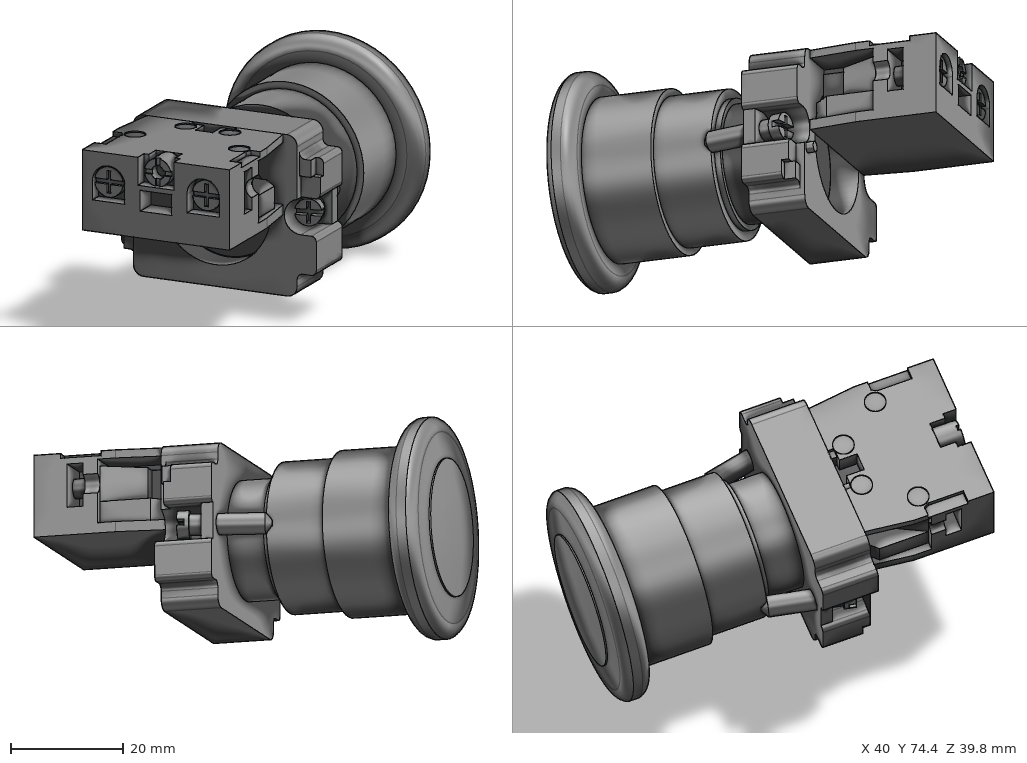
import cadquery as cq
import math


LENGTH = 74.35
BASE_FRONT = 24.4
BASE_BACK = 35.0
NECK_END = 29.75
FLANGE_FRONT = 42.15
COLLAR_FRONT = 43.3
SKIRT_FRONT = 54.2
RIM_FRONT = 67.4
RIM_BAND_FRONT = 69.6
RIM_BAND_BACK = 71.4
DOME_FRONT = 72.9
CAP_LEDGE = 73.4
CAP_FRONT = 73.7

RIM_DIAMETER = 39.8
RIM_FLAT_RADIUS = 17.2
SHOULDER_INSET = 0.8
SHOULDER_RISE = 1.05
CAP_RADIUS = 12.4
SKIRT_RADIUS = 15.0
COLLAR_RADIUS = 13.7
FLANGE_RADIUS = 11.9
NECK_RADIUS = 10.85
BORE_RADIUS = 11.0

BASE_HALF_WIDTH = 16.2
BASE_HALF_HEIGHT = 15.0
BASE_CORNER_RADIUS = 2.0
EAR_TIP_X = 20.0
EAR_HALF_HEIGHT = 10.55
EAR_CORNER_RADIUS = 1.0
EAR_ROOT_RADIUS = 1.2
NOTCH_RADIUS = 3.3
NOTCH_CENTER_X = 16.95
SEAT_EDGE_X = 19.0
SEAT_EDGE_THICKNESS = 2.2
EAR_RECESS_DEPTH = 1.6
EAR_PAD_DEPTH = 0.9
EAR_SLOT_DEPTH = 3.0
EAR_PAD_TIP_X = 18.5
EAR_PAD_TOP_Z = -7.35

PIN_RADIUS = 1.0
PIN_X = -14.7
PIN_Z = -3.7
PIN_PROJECTION = 1.4
PIN_INSERTION = 3.0

CLAMP_TILT = 12.0
CLAMP_HEAD_X = 16.8
CLAMP_HEAD_Y = 27.7
CLAMP_HEAD_RADIUS = 2.5
CLAMP_HEAD_LENGTH = 2.15
CLAMP_SHANK_RADIUS = 1.9
CLAMP_LENGTH = 16.95
CLAMP_POINT_LENGTH = 1.2
CLAMP_TIP_RADIUS = 0.6
CLAMP_SLOT_WIDTH = 1.1
CLAMP_SLOT_DEPTH = 1.35
CLAMP_CROSS_LENGTH = 3.95

BLOCK_HALF_WIDTH = 14.6
BLOCK_BACK_HALF_WIDTH = 13.45
BLOCK_TAPER_START = 15.3
BLOCK_BOTTOM = 0.1
BLOCK_TOP = BASE_HALF_HEIGHT

CHANNEL_FRONT = 12.0
CHANNEL_BOTTOM = 1.9
CHANNEL_TOP = 13.5
CHANNEL_WALL_X = 13.15
CHANNEL_GROOVE_X = 6.5
CHANNEL_FLARE_Y = 21.4
CAVITY_BOTTOM = 6.1
CAVITY_TOP = 12.6
CAVITY_RAMP_X = 9.15
CAVITY_WALL_X = 6.85
CAVITY_RAMP_END = 19.6

WINDOW_FRONT = 6.25
WINDOW_BACK = 9.2
WINDOW_BOTTOM = 5.1
WINDOW_TOP = 13.0
WINDOW_INNER_X = 7.4
WIRE_GROOVE_RADIUS = 1.85
WIRE_GROOVE_X = 15.2
WIRE_GROOVE_Z = 9.15

CORNER_NOTCH_FRONT = 5.0
CORNER_NOTCH_BACK = 12.65
CORNER_NOTCH_WIDTH = 2.3
CORNER_NOTCH_DEPTH = 0.9
CORNER_NOTCH_CHAMFER_X = 0.5
CORNER_NOTCH_CHAMFER_Y = 1.0

DIMPLE_RADIUS = 1.9
DIMPLE_DEPTH = 0.2
DIMPLE_CENTERS = [(-4.4, 21.35), (4.4, 21.35), (-10.3, 12.85), (10.3, 12.85)]

TEE_DEPTH = 3.7
TEE_BAR_HALF_WIDTH = 2.8
TEE_END_HALF_WIDTH = 4.25
TEE_END_DEPTH = 0.75
TEE_BAR_FRONT = 23.2
TEE_STEM_HALF_WIDTH = 1.7
TEE_STEM_FRONT = 19.8

TEST_HOLE_HALF_WIDTH = 3.1
TEST_HOLE_BOTTOM = 5.05
TEST_HOLE_TOP = 8.9
TEST_HOLE_DEPTH = 4.45

TERMINAL_X = 9.7
TERMINAL_Z = 9.45
TERMINAL_HEAD_RADIUS = 2.8
TERMINAL_HEAD_LENGTH = 1.85
TERMINAL_SHANK_RADIUS = 1.8
TERMINAL_SETBACK = 0.75
TERMINAL_SLOT_WIDTH = 0.9
TERMINAL_SLOT_DEPTH = 0.7
TERMINAL_CROSS_LENGTH = 4.2
TERMINAL_POCKET_X = 9.4
TERMINAL_POCKET_RADIUS = 3.2
TERMINAL_POCKET_BOTTOM = 5.95
TERMINAL_POCKET_DEPTH = TERMINAL_SETBACK + TERMINAL_HEAD_LENGTH

CROSS_ARM_WIDTH = 0.75

CENTER_RADIUS = 2.6
CENTER_Z = BLOCK_TOP - CENTER_RADIUS
CENTER_FRONT = 0.75
CENTER_BACK = 5.4
CENTER_SOCKET_RADIUS = 1.3
CENTER_SOCKET_DEPTH = 2.2
CENTER_SLOT_WIDTH = 0.9
CENTER_SLOT_DEPTH = 0.5
CENTER_POCKET_HALF_WIDTH = 3.6
CENTER_POCKET_DEPTH = 2.5

LEFT, RIGHT = -1, 1


def box(x_range, y_range, z_range):
    """Box spanning the given (start, end) ranges."""
    (x0, x1), (y0, y1), (z0, z1) = x_range, y_range, z_range
    return cq.Workplane("XY").box(x1 - x0, y1 - y0, z1 - z0, centered=False).translate((x0, y0, z0))


def rod(radius, x, z, y0, y1):
    """Cylinder parallel to Y from y0 to y1."""
    return cq.Workplane("XZ", origin=(x, y1, z)).circle(radius).extrude(y1 - y0)


def plate(points, z0, z1):
    """Closed XY outline extruded from z0 to z1."""
    return cq.Workplane("XY", origin=(0, 0, z0)).polyline(points).close().extrude(z1 - z0)


def on_both_sides(shape):
    """A left-hand shape together with its mirror image."""
    return shape.union(shape.mirror("YZ"))


def edges_along_y(half_x, half_z):
    """Selector for the four Y-parallel edges at (+-half_x, +-half_z)."""
    reach = 0.1
    corners = [
        cq.selectors.BoxSelector(
            (sx * half_x - reach, 0, sz * half_z - reach),
            (sx * half_x + reach, LENGTH, sz * half_z + reach),
        )
        for sx in (LEFT, RIGHT)
        for sz in (-1, 1)
    ]
    return corners[0] + corners[1] + corners[2] + corners[3]


def screw_cross(slot_length, slot_width, arm_length, depth):
    """Cutter for a full-width X slot and a short Z arm, sunk to +Y from Y = 0."""
    slot = box((-slot_length / 2, slot_length / 2), (0, depth), (-slot_width / 2, slot_width / 2))
    arm = box(
        (-CROSS_ARM_WIDTH / 2, CROSS_ARM_WIDTH / 2), (0, depth), (-arm_length / 2, arm_length / 2)
    )
    return slot.union(arm)


def make_button():
    """Mushroom head with a low domed cap, rounded rim and cylindrical skirt."""
    rim_radius = RIM_DIAMETER / 2
    shoulder_mid = (rim_radius - SHOULDER_INSET, RIM_BAND_BACK + SHOULDER_RISE)
    dome_rise = LENGTH - CAP_FRONT
    dome_radius = (CAP_RADIUS**2 + dome_rise**2) / (2 * dome_rise)
    return (
        cq.Workplane("XY")
        .moveTo(0, SKIRT_FRONT)
        .lineTo(SKIRT_RADIUS, SKIRT_FRONT)
        .lineTo(SKIRT_RADIUS, RIM_FRONT)
        .lineTo(RIM_FLAT_RADIUS, RIM_FRONT)
        .tangentArcPoint((rim_radius, RIM_BAND_FRONT), relative=False)
        .lineTo(rim_radius, RIM_BAND_BACK)
        .threePointArc(shoulder_mid, (RIM_FLAT_RADIUS, DOME_FRONT))
        .lineTo(CAP_RADIUS, CAP_LEDGE)
        .lineTo(CAP_RADIUS, CAP_FRONT)
        .radiusArc((0, LENGTH), -dome_radius)
        .close()
        .revolve(360, (0, 0, 0), (0, 1, 0))
    )


def make_collar(clamp_screws):
    """Stepped collar whose neck enters the base; the screw points bite into it."""
    collar = (
        rod(NECK_RADIUS, 0, 0, NECK_END, FLANGE_FRONT)
        .union(rod(FLANGE_RADIUS, 0, 0, FLANGE_FRONT, COLLAR_FRONT))
        .union(rod(COLLAR_RADIUS, 0, 0, COLLAR_FRONT, SKIRT_FRONT))
    )
    for screw in clamp_screws:
        collar = collar.cut(screw)
    return collar


def make_base_blank():
    """Rounded slab with ears at both sides and a screw notch between each pair."""
    depth = (BASE_FRONT, BASE_BACK)
    core = box(
        (-BASE_HALF_WIDTH, BASE_HALF_WIDTH), depth, (-BASE_HALF_HEIGHT, BASE_HALF_HEIGHT)
    ).edges("|Y").fillet(BASE_CORNER_RADIUS)
    ears = box(
        (-EAR_TIP_X, EAR_TIP_X), depth, (-EAR_HALF_HEIGHT, EAR_HALF_HEIGHT)
    ).edges("|Y").fillet(EAR_CORNER_RADIUS)
    blank = core.union(ears)
    blank = blank.edges(edges_along_y(BASE_HALF_WIDTH, EAR_HALF_HEIGHT)).fillet(EAR_ROOT_RADIUS)
    notch = rod(NOTCH_RADIUS, -NOTCH_CENTER_X, 0, *depth).union(
        box((-EAR_TIP_X, -NOTCH_CENTER_X), depth, (-NOTCH_RADIUS, NOTCH_RADIUS))
    )
    blank = blank.cut(on_both_sides(notch))
    return blank.edges(edges_along_y(EAR_TIP_X, NOTCH_RADIUS)).fillet(EAR_CORNER_RADIUS)


def make_screw_seat():
    """Left plate across the back of the notch; its face is square to the clamp screw."""
    embedding = 0.75
    inner_x = NOTCH_CENTER_X - NOTCH_RADIUS - embedding
    edge_y = BASE_BACK - SEAT_EDGE_THICKNESS
    inner_y = edge_y - (SEAT_EDGE_X - inner_x) * math.tan(math.radians(CLAMP_TILT))
    outline = [
        (-SEAT_EDGE_X, BASE_BACK),
        (-SEAT_EDGE_X, edge_y),
        (-inner_x, inner_y),
        (-inner_x, BASE_BACK),
    ]
    return plate(outline, -NOTCH_RADIUS, NOTCH_RADIUS)


def make_ear_recess():
    """Stepped cut in the front of the lower left ear, leaving a pad beside a slot."""
    across = (-EAR_TIP_X, -BASE_HALF_WIDTH)
    root_z = -EAR_HALF_HEIGHT - EAR_ROOT_RADIUS
    upper = box(across, (BASE_FRONT, BASE_FRONT + EAR_RECESS_DEPTH), (EAR_PAD_TOP_Z, 0))
    pad_face = box(across, (BASE_FRONT, BASE_FRONT + EAR_PAD_DEPTH), (root_z, EAR_PAD_TOP_Z))
    slot = box(
        (-EAR_TIP_X, -EAR_PAD_TIP_X),
        (BASE_FRONT, BASE_FRONT + EAR_SLOT_DEPTH),
        (root_z, EAR_PAD_TOP_Z),
    )
    return upper.union(pad_face).union(slot)


def make_base(clamp_screws, pin):
    """Mounting base with its bore, screw seats, ear recesses and pin hole."""
    ear_recess = make_ear_recess()
    base = (
        make_base_blank()
        .union(on_both_sides(make_screw_seat()))
        .cut(ear_recess)
        .cut(ear_recess.rotate((0, 0, 0), (0, 1, 0), 180))
        .cut(rod(BORE_RADIUS, 0, 0, BASE_FRONT, NECK_END))
        .cut(rod(NECK_RADIUS, 0, 0, NECK_END, BASE_BACK))
        .cut(pin)
    )
    for screw in clamp_screws:
        base = base.cut(screw)
    return base


def make_pin():
    """Small round pin standing out of the front of the base."""
    return rod(PIN_RADIUS, PIN_X, PIN_Z, BASE_FRONT - PIN_PROJECTION, BASE_FRONT + PIN_INSERTION)


def make_clamp_screw(side):
    """Pointed slotted screw; its point leans towards the button axis."""
    screw = (
        cq.Workplane("XY")
        .polyline([
            (0, 0),
            (CLAMP_HEAD_RADIUS, 0),
            (CLAMP_HEAD_RADIUS, CLAMP_HEAD_LENGTH),
            (CLAMP_SHANK_RADIUS, CLAMP_HEAD_LENGTH),
            (CLAMP_SHANK_RADIUS, CLAMP_LENGTH - CLAMP_POINT_LENGTH),
            (CLAMP_TIP_RADIUS, CLAMP_LENGTH),
            (0, CLAMP_LENGTH),
        ])
        .close()
        .revolve(360, (0, 0, 0), (0, 1, 0))
        .cut(screw_cross(2 * CLAMP_HEAD_RADIUS, CLAMP_SLOT_WIDTH, CLAMP_CROSS_LENGTH, CLAMP_SLOT_DEPTH))
    )
    screw = screw.rotate((0, 0, 0), (0, 0, 1), side * CLAMP_TILT)
    return screw.translate((side * CLAMP_HEAD_X, CLAMP_HEAD_Y, 0))


def make_terminal_screw(side):
    """Slotted screw whose shank shows in the side window of the block."""
    x = side * TERMINAL_X
    head = rod(TERMINAL_HEAD_RADIUS, x, TERMINAL_Z, TERMINAL_SETBACK, TERMINAL_POCKET_DEPTH)
    shank = rod(TERMINAL_SHANK_RADIUS, x, TERMINAL_Z, TERMINAL_POCKET_DEPTH, WINDOW_BACK)
    cross = screw_cross(
        2 * TERMINAL_HEAD_RADIUS, TERMINAL_SLOT_WIDTH, TERMINAL_CROSS_LENGTH, TERMINAL_SLOT_DEPTH
    )
    return head.union(shank).cut(cross.translate((x, TERMINAL_SETBACK, TERMINAL_Z)))


def make_center_screw():
    """Short screw with a round socket and four slots."""
    screw = rod(CENTER_RADIUS, 0, CENTER_Z, CENTER_FRONT, CENTER_BACK)
    socket = rod(CENTER_SOCKET_RADIUS, 0, CENTER_Z, CENTER_FRONT, CENTER_FRONT + CENTER_SOCKET_DEPTH)
    half_slot = CENTER_SLOT_WIDTH / 2
    slot = box((-CENTER_RADIUS, CENTER_RADIUS), (0, CENTER_SLOT_DEPTH), (-half_slot, half_slot))
    slot = slot.union(slot.rotate((0, 0, 0), (0, 1, 0), 90)).translate((0, CENTER_FRONT, CENTER_Z))
    return screw.cut(socket).cut(slot)


def make_side_channel():
    """Left wire channel: a shallow lower step, a ramped cavity and a groove above, and a rear flare."""
    outer = -BLOCK_HALF_WIDTH
    wall = -CHANNEL_WALL_X
    cavity_wall = -CAVITY_WALL_X
    shallow = box((outer, wall), (CHANNEL_FRONT, BASE_FRONT), (CHANNEL_BOTTOM, CHANNEL_TOP))
    flare_reach = BASE_FRONT - CHANNEL_FLARE_Y
    flare = plate(
        [(wall, CHANNEL_FLARE_Y), (wall + flare_reach, BASE_FRONT), (wall, BASE_FRONT)],
        CHANNEL_BOTTOM,
        CAVITY_BOTTOM,
    )
    cavity = plate(
        [
            (wall, CHANNEL_FRONT),
            (-CAVITY_RAMP_X, CAVITY_RAMP_END),
            (cavity_wall, CAVITY_RAMP_END),
            (cavity_wall, BASE_FRONT),
            (wall, BASE_FRONT),
        ],
        CAVITY_BOTTOM,
        CAVITY_TOP,
    )
    groove = box((outer, -CHANNEL_GROOVE_X), (CHANNEL_FRONT, BASE_FRONT), (CAVITY_TOP, CHANNEL_TOP))
    return shallow.union(flare).union(cavity).union(groove)


def make_side_window():
    """Left window onto the terminal screw, with the wire groove that joins it to the channel."""
    window = box(
        (-BLOCK_HALF_WIDTH, -WINDOW_INNER_X), (WINDOW_FRONT, WINDOW_BACK), (WINDOW_BOTTOM, WINDOW_TOP)
    )
    groove = rod(WIRE_GROOVE_RADIUS, -WIRE_GROOVE_X, WIRE_GROOVE_Z, WINDOW_BACK, CHANNEL_FRONT)
    return window.union(groove)


def make_corner_notch():
    """Shallow left notch in the top edge with one bevelled corner."""
    outer = -BLOCK_HALF_WIDTH
    inner = outer + CORNER_NOTCH_WIDTH
    outline = [
        (outer, CORNER_NOTCH_FRONT),
        (inner, CORNER_NOTCH_FRONT),
        (inner, CORNER_NOTCH_BACK - CORNER_NOTCH_CHAMFER_Y),
        (inner - CORNER_NOTCH_CHAMFER_X, CORNER_NOTCH_BACK),
        (outer, CORNER_NOTCH_BACK),
    ]
    return plate(outline, BLOCK_TOP - CORNER_NOTCH_DEPTH, BLOCK_TOP)


def make_terminal_pocket():
    """Left pocket for a terminal screw head: round above, square below."""
    depth = (0, TERMINAL_POCKET_DEPTH)
    x, radius = -TERMINAL_POCKET_X, TERMINAL_POCKET_RADIUS
    square = box((x - radius, x + radius), depth, (TERMINAL_POCKET_BOTTOM, TERMINAL_Z))
    return rod(radius, x, TERMINAL_Z, *depth).union(square)


def make_center_pocket():
    """Stepped slot, open upwards, that holds the centre screw."""
    center_bottom = CENTER_Z - CENTER_RADIUS
    mouth = box(
        (-CENTER_POCKET_HALF_WIDTH, CENTER_POCKET_HALF_WIDTH),
        (0, CENTER_POCKET_DEPTH),
        (center_bottom, BLOCK_TOP),
    )
    cradle = rod(CENTER_RADIUS, 0, CENTER_Z, 0, CENTER_BACK)
    opening = box((-CENTER_RADIUS, CENTER_RADIUS), (0, CENTER_BACK), (CENTER_Z, BLOCK_TOP))
    return mouth.union(cradle).union(opening)


def make_tee_recess():
    """T-shaped recess in the top face against the base, with shallow bar ends."""
    height = (BLOCK_TOP - TEE_DEPTH, BLOCK_TOP)
    bar = box((-TEE_BAR_HALF_WIDTH, TEE_BAR_HALF_WIDTH), (TEE_BAR_FRONT, BASE_FRONT), height)
    stem = box((-TEE_STEM_HALF_WIDTH, TEE_STEM_HALF_WIDTH), (TEE_STEM_FRONT, BASE_FRONT), height)
    ends = box(
        (-TEE_END_HALF_WIDTH, TEE_END_HALF_WIDTH),
        (TEE_BAR_FRONT, BASE_FRONT),
        (BLOCK_TOP - TEE_END_DEPTH, BLOCK_TOP),
    )
    return bar.union(stem).union(ends)


def make_contact_block(terminal_screws):
    """Tapered block with terminal pockets, side channels and top-face recesses."""
    outline = [
        (-BLOCK_HALF_WIDTH, 0),
        (BLOCK_HALF_WIDTH, 0),
        (BLOCK_HALF_WIDTH, BLOCK_TAPER_START),
        (BLOCK_BACK_HALF_WIDTH, BASE_FRONT),
        (-BLOCK_BACK_HALF_WIDTH, BASE_FRONT),
        (-BLOCK_HALF_WIDTH, BLOCK_TAPER_START),
    ]
    test_hole = box(
        (-TEST_HOLE_HALF_WIDTH, TEST_HOLE_HALF_WIDTH),
        (0, TEST_HOLE_DEPTH),
        (TEST_HOLE_BOTTOM, TEST_HOLE_TOP),
    )
    dimples = (
        cq.Workplane("XY", origin=(0, 0, BLOCK_TOP - DIMPLE_DEPTH))
        .pushPoints(DIMPLE_CENTERS)
        .circle(DIMPLE_RADIUS)
        .extrude(DIMPLE_DEPTH)
    )
    block = (
        plate(outline, BLOCK_BOTTOM, BLOCK_TOP)
        .cut(on_both_sides(make_side_channel()))
        .cut(on_both_sides(make_side_window()))
        .cut(on_both_sides(make_corner_notch()))
        .cut(on_both_sides(make_terminal_pocket()))
        .cut(make_center_pocket())
        .cut(make_tee_recess())
        .cut(test_hole)
        .cut(dimples)
    )
    for screw in terminal_screws:
        block = block.cut(screw)
    return block


clamp_screws = [make_clamp_screw(side) for side in (LEFT, RIGHT)]
terminal_screws = [make_terminal_screw(side) for side in (LEFT, RIGHT)]
center_screw = make_center_screw()
pin = make_pin()
button = make_button()
collar = make_collar(clamp_screws)
base = make_base(clamp_screws, pin)
contact_block = make_contact_block(terminal_screws)

bodies = [button, collar, base, contact_block, pin, center_screw, *clamp_screws, *terminal_screws]
result = cq.Compound.makeCompound([body.solids().val() for body in bodies])